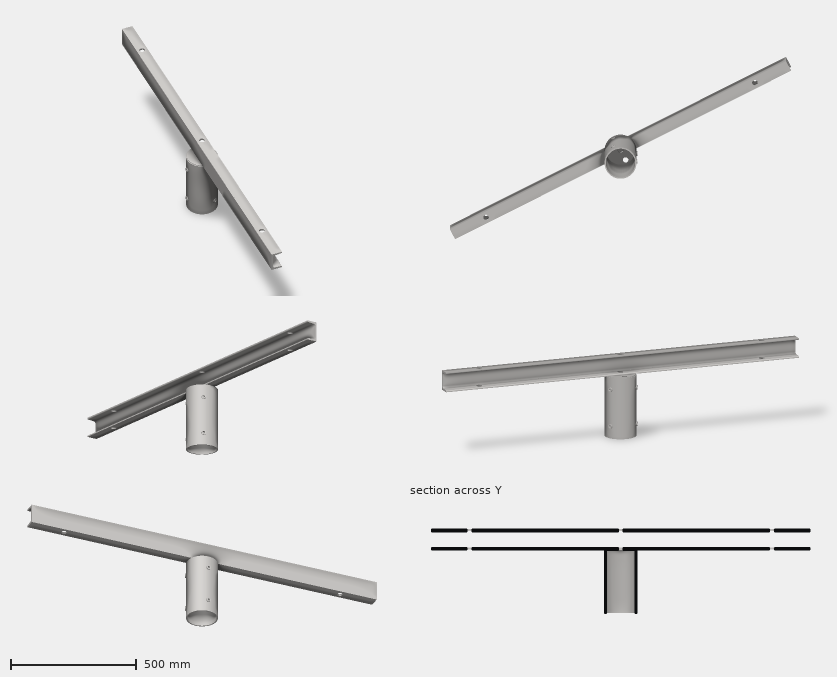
import cadquery as cq

sleeve_diameter = 127.0
sleeve_wall = 5.0
sleeve_height = 250.0
sleeve_radius = sleeve_diameter / 2
bore_radius = sleeve_radius - sleeve_wall

cap_diameter = 121.0
cap_thickness = 3.0
hole_diameter = 22.0
cap_hole_offset = 44.5

bar_length = 1500.0
bar_height = 80.0
flange_width = 45.0
web_thickness = 6.0
flange_thickness = 8.0
flange_slope = 0.08
root_radius = 8.0
toe_radius = 4.0
bar_bottom = sleeve_height + cap_thickness
bar_hole_spacing = 600.0

bushing_diameter = 19.0
bushing_bore = 10.0
bushing_protrusion = 4.0
bushing_length = sleeve_wall + bushing_protrusion
bushings_per_ring = 3
first_bushing_angle = -90.0
ring_end_distance = 50.0
ring_heights = (ring_end_distance, sleeve_height - ring_end_distance)
bushing_places = [
    (first_bushing_angle + i * 360 / bushings_per_ring, height)
    for height in ring_heights
    for i in range(bushings_per_ring)
]


def radial_cylinder(diameter, angle, height):
    """Cylinder from the sleeve bore outwards, past the outside of the sleeve."""
    return (
        cq.Workplane("YZ")
        .workplane(offset=bore_radius)
        .circle(diameter / 2)
        .extrude(bushing_length)
        .rotate((0, 0, 0), (0, 0, 1), angle)
        .translate((0, 0, height))
    )


def make_bushing(angle, height):
    body = radial_cylinder(bushing_diameter, angle, height)
    return body.cut(radial_cylinder(bushing_bore, angle, height))


def make_sleeve():
    sleeve = cq.Workplane("XY").circle(sleeve_radius).circle(bore_radius).extrude(sleeve_height)
    for angle, height in bushing_places:
        sleeve = sleeve.cut(radial_cylinder(bushing_diameter, angle, height))
    return sleeve


def make_cap():
    plate = cq.Workplane("XY").circle(cap_diameter / 2).extrude(cap_thickness)
    holes = (
        cq.Workplane("XY")
        .pushPoints([(0, 0), (0, cap_hole_offset)])
        .circle(hole_diameter / 2)
        .extrude(cap_thickness)
    )
    return plate.cut(holes).translate((0, 0, sleeve_height))


def fillet_lines(bar, y, heights, radius):
    """Round the lengthwise edges at the given Y and heights."""
    edges = [
        bar.edges(cq.selectors.NearestToPointSelector((0, y, height))).val()
        for height in heights
    ]
    return bar.newObject(edges).fillet(radius)


def make_crossbar():
    back = -flange_width / 2
    toe = flange_width / 2
    web_face = back + web_thickness
    toe_thickness = flange_thickness - flange_slope * toe
    root_thickness = flange_thickness - flange_slope * web_face
    toe_heights = (toe_thickness, bar_height - toe_thickness)
    root_heights = (root_thickness, bar_height - root_thickness)

    bar = (
        cq.Workplane("YZ")
        .polyline(
            [
                (back, 0),
                (toe, 0),
                (toe, toe_heights[0]),
                (web_face, root_heights[0]),
                (web_face, root_heights[1]),
                (toe, toe_heights[1]),
                (toe, bar_height),
                (back, bar_height),
            ]
        )
        .close()
        .extrude(bar_length / 2, both=True)
    )
    bar = fillet_lines(bar, web_face, root_heights, root_radius)
    bar = fillet_lines(bar, toe, toe_heights, toe_radius)

    holes = (
        cq.Workplane("XY")
        .pushPoints([(i * bar_hole_spacing, 0) for i in (-1, 0, 1)])
        .circle(hole_diameter / 2)
        .extrude(bar_height)
    )
    return bar.cut(holes).translate((0, 0, bar_bottom))


sleeve = make_sleeve()
cap = make_cap()
crossbar = make_crossbar()
bushings = [make_bushing(angle, height) for angle, height in bushing_places]

result = cq.Compound.makeCompound(
    [sleeve.val(), cap.val(), crossbar.val(), *[bushing.val() for bushing in bushings]]
)